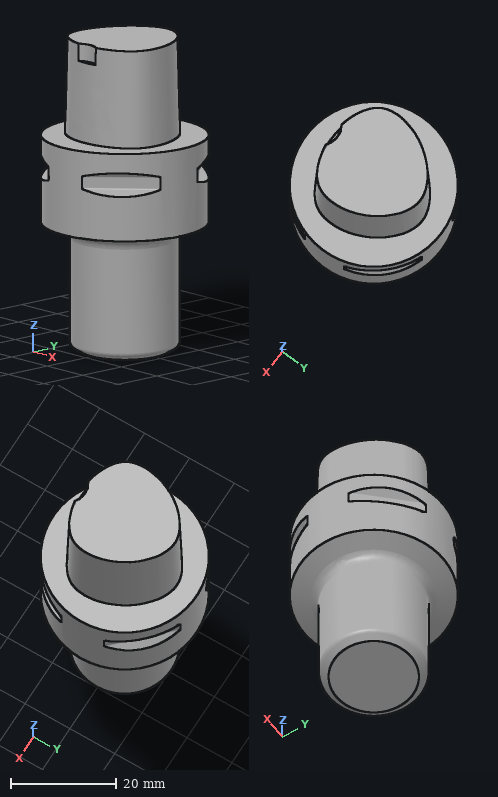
import cadquery as cq
import math

total_height = 61.0
flange_bottom = 25.0
flange_top = 42.1

flange_radius = 32.0 / 2
shank_radius = 21.0 / 2
neck_cone_angle = 15.0
neck_fillet_radius = 2.0
tip_chamfer_angle = 30.0
tip_chamfer_width = 1.9
tip_fillet_radius = 1.0

polygon_mean_radius = 11.0
lobe_height = 0.7
lobe_half_angle = 24.0
taper_slope = 1 / 40

slot_count = 4
slot_floor_distance = 14.15
slot_mouth_width = 4.65
slot_wall_angle = 30.0
slot_corner_radius = 0.4
slot_center_height = 36.0

notch_radius = 4.0
notch_inner_y = -8.85
notch_depth = 3.35


def make_body():
    """Shank, conical neck and flange turned about Z."""
    neck_drop = (flange_radius - shank_radius) * math.tan(math.radians(neck_cone_angle))
    neck_bottom = flange_bottom - neck_drop
    tip_chamfer_height = tip_chamfer_width * math.tan(math.radians(tip_chamfer_angle))
    profile = [
        (0, 0),
        (shank_radius - tip_chamfer_width, 0),
        (shank_radius, tip_chamfer_height),
        (shank_radius, neck_bottom),
        (flange_radius, flange_bottom),
        (flange_radius, flange_top),
        (0, flange_top),
    ]
    body = cq.Workplane("XZ").polyline(profile).close().revolve(360, (0, 0, 0), (0, 1, 0))

    def round_edge(solid, height, radius):
        margin = 0.05
        reach = shank_radius + margin
        edge_zone = cq.selectors.BoxSelector(
            (-reach, -reach, height - margin), (reach, reach, height + margin), boundingbox=True
        )
        return solid.edges(edge_zone).fillet(radius)

    body = round_edge(body, neck_bottom, neck_fillet_radius)
    return round_edge(body, tip_chamfer_height, tip_fillet_radius)


def polygon_point(mean_radius, normal_angle):
    """Outline point whose outward normal has the given angle in degrees."""
    angle = math.radians(normal_angle)
    support = mean_radius - lobe_height * math.sin(3 * angle)
    support_slope = -3 * lobe_height * math.cos(3 * angle)
    return (
        support * math.cos(angle) - support_slope * math.sin(angle),
        support * math.sin(angle) + support_slope * math.cos(angle),
    )


def polygon_tangent(normal_angle):
    """Direction of the outline where its outward normal has the given angle."""
    angle = math.radians(normal_angle)
    return (-math.sin(angle), math.cos(angle))


def add_polygon_curve(outline, mean_radius, start_angle, end_angle):
    """Continue the outline along one smooth stretch between two normal angles."""
    steps = 6
    step_angle = (end_angle - start_angle) / steps
    points = [polygon_point(mean_radius, start_angle + i * step_angle) for i in range(1, steps + 1)]
    tangents = [polygon_tangent(start_angle), polygon_tangent(end_angle)]
    return outline.spline(points, tangents=tangents, includeCurrent=True)


def add_polygon_section(workplane, mean_radius):
    """Closed outline of three lobes and the flatter sides between them."""
    lobe_angles = (-30, 90, 210)
    lobe_spacing = 120
    outline = workplane.moveTo(*polygon_point(mean_radius, lobe_angles[0] - lobe_half_angle))
    for crest in lobe_angles:
        lobe_start = crest - lobe_half_angle
        lobe_end = crest + lobe_half_angle
        outline = add_polygon_curve(outline, mean_radius, lobe_start, lobe_end)
        outline = add_polygon_curve(outline, mean_radius, lobe_end, lobe_start + lobe_spacing)
    return outline.close()


def make_polygon():
    """Polygon lofted from its base to its smaller top."""
    height = total_height - flange_top
    base = add_polygon_section(cq.Workplane("XY").workplane(offset=flange_top), polygon_mean_radius)
    top_radius = polygon_mean_radius - height * taper_slope
    sections = add_polygon_section(base.workplane(offset=height), top_radius)
    return sections.loft(ruled=True)


def make_slot():
    """Cutter for one grip slot on the +X side, with rounded floor corners."""
    overshoot = 0.6
    wall_slope = math.tan(math.radians(slot_wall_angle))
    floor_half = slot_mouth_width / 2 - (flange_radius - slot_floor_distance) * wall_slope
    outer_half = slot_mouth_width / 2 + overshoot * wall_slope
    outer_x = flange_radius + overshoot
    profile = [
        (slot_floor_distance, slot_center_height - floor_half),
        (outer_x, slot_center_height - outer_half),
        (outer_x, slot_center_height + outer_half),
        (slot_floor_distance, slot_center_height + floor_half),
    ]
    cutter = cq.Workplane("XZ").polyline(profile).close().extrude(flange_radius, both=True)
    return cutter.faces("<X").edges("|Y").fillet(slot_corner_radius)


def make_notch():
    """Round cutter leaning with the taper, so that its opening keeps a constant width."""
    overshoot = 0.6
    cutter = (
        cq.Workplane("XY")
        .workplane(offset=total_height - notch_depth)
        .center(0, notch_inner_y - notch_radius)
        .circle(notch_radius)
        .extrude(notch_depth + overshoot)
    )
    pivot_start = (0, notch_inner_y, total_height)
    pivot_end = (1, notch_inner_y, total_height)
    return cutter.rotate(pivot_start, pivot_end, -math.degrees(math.atan(taper_slope)))


result = make_body().union(make_polygon()).cut(make_notch())

slot = make_slot()
slot_spacing = 360 / slot_count
for index in range(slot_count):
    slot_angle = (index + 0.5) * slot_spacing
    result = result.cut(slot.rotate((0, 0, 0), (0, 0, 1), slot_angle))